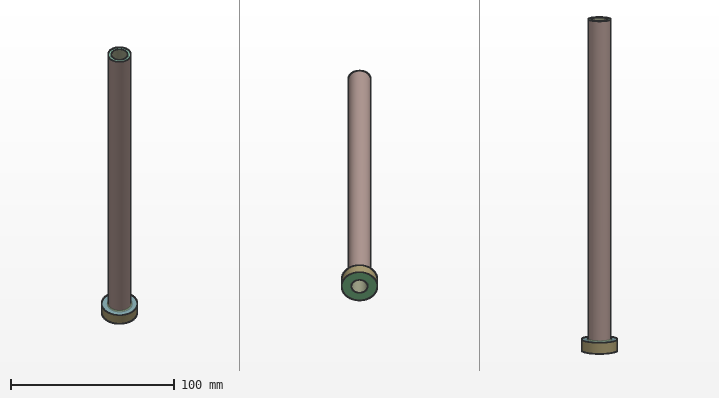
import cadquery as cq

total_length = 207.0
head_diameter = 22.0
head_height = 7.0
tube_diameter = 14.0
bore_diameter = 10.0
neck_fillet = 0.6

head_radius = head_diameter / 2
tube_radius = tube_diameter / 2
bore_radius = bore_diameter / 2

half_section = (
    cq.Workplane("XZ")
    .moveTo(bore_radius, 0)
    .lineTo(head_radius, 0)
    .lineTo(head_radius, head_height)
    .lineTo(tube_radius + neck_fillet, head_height)
    .radiusArc((tube_radius, head_height + neck_fillet), neck_fillet)
    .lineTo(tube_radius, total_length)
    .lineTo(bore_radius, total_length)
    .close()
)

result = half_section.revolve(360, (0, 0, 0), (0, 1, 0))